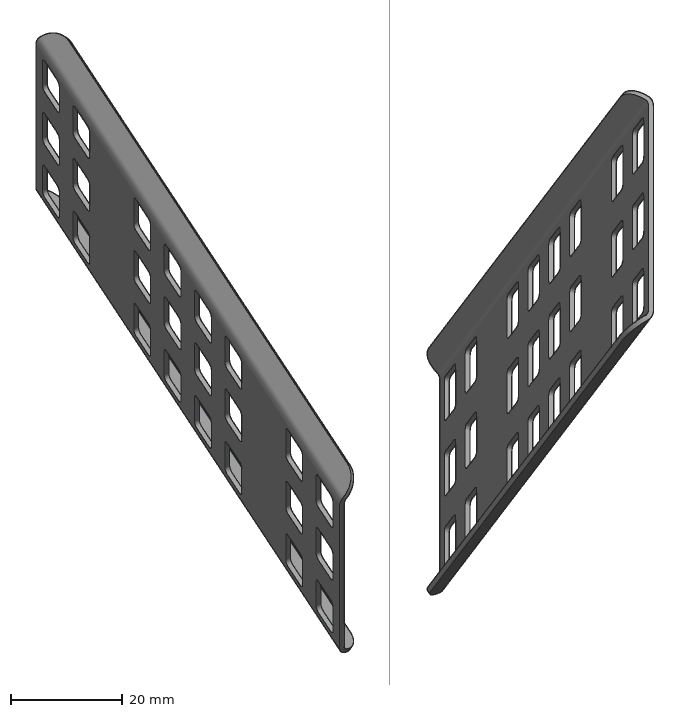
import cadquery as cq
import math

length = 120.0
height = 49.0
depth = 4.7
thickness = 1.0
bend_angle = math.radians(55)
bend_radius = 2.2
corner_radius = 5.0

window_width = 6.6
window_height = 8.9
window_radius = 1.0
column_pitch = 12.0
row_pitch = 15.0
column_steps = (0.5, 1.5, 3.5, 4.5)
row_steps = (-1, 0, 1)

sin_bend = math.sin(bend_angle)
cos_bend = math.cos(bend_angle)
flange_length = (depth - bend_radius * (1 - cos_bend) - thickness * cos_bend) / sin_bend
flat_half_height = height / 2 - bend_radius * sin_bend - flange_length * cos_bend


def bend_point(radius, angle):
    """(y, z) of a point on the upper bend, turned by angle from the flat plate."""
    return (
        bend_radius - radius * math.cos(angle),
        flat_half_height + radius * math.sin(angle),
    )


def flange_tip(radius):
    """(y, z) of the flange tip on the face that leaves the bend at this radius."""
    y, z = bend_point(radius, bend_angle)
    return (y + flange_length * sin_bend, z + flange_length * cos_bend)


def upper_half():
    """Upper half of the plate with its flange, front face at y = 0."""
    inner_radius = bend_radius - thickness
    return (
        cq.Workplane("YZ")
        .moveTo(0, 0)
        .lineTo(*bend_point(bend_radius, 0))
        .threePointArc(bend_point(bend_radius, bend_angle / 2), bend_point(bend_radius, bend_angle))
        .lineTo(*flange_tip(bend_radius))
        .lineTo(*flange_tip(inner_radius))
        .lineTo(*bend_point(inner_radius, bend_angle))
        .threePointArc(bend_point(inner_radius, bend_angle / 2), bend_point(inner_radius, 0))
        .lineTo(thickness, 0)
        .close()
        .extrude(length / 2, both=True)
    )


def corner_cutters():
    """Cutters that round both free corners of the upper flange, square to its faces."""
    outward = (0, -cos_bend, sin_bend)
    tip_y, tip_z = flange_tip(bend_radius)
    cut_reach = 2 * thickness
    arc_mid = corner_radius * (1 - math.sqrt(0.5))
    cutters = cq.Workplane("XY")
    for side in (-1, 1):
        corner = cq.Plane(
            origin=(side * length / 2, tip_y, tip_z),
            xDir=(-side, 0, 0),
            normal=outward,
        )
        cutters = cutters.add(
            cq.Workplane(corner)
            .lineTo(corner_radius, 0)
            .threePointArc((arc_mid, side * arc_mid), (0, side * corner_radius))
            .close()
            .extrude(cut_reach, both=True)
        )
    return cutters.combine()


def windows():
    """Rounded cutters for all windows, passing through the plate."""
    centers = [
        (side * column * column_pitch, row * row_pitch)
        for side in (-1, 1)
        for column in column_steps
        for row in row_steps
    ]
    return (
        cq.Workplane("XZ")
        .pushPoints(centers)
        .rect(window_width, window_height)
        .extrude(thickness, both=True)
        .edges("|Y")
        .fillet(window_radius)
    )


upper = upper_half().cut(corner_cutters())
plate = upper.union(upper.mirror("XY")).clean()
result = plate.cut(windows())